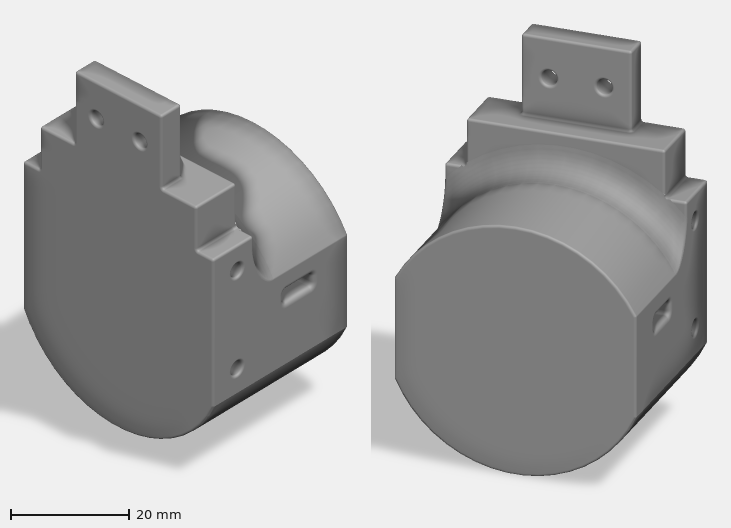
import cadquery as cq
import math

height = 68.3
depth = 33.6
body_width = 44.0
drum_radius = 24.0

plate_thickness = 10.05
body_top = 44.4
step_width = 36.05
step_top = 53.3
tab_width = 20.0
tab_thickness = 5.0

crown_radius = 25.0
crown_top = 46.15
cove_radius = 5.0

hole_diameter = 2.9
tab_hole_spacing = 10.05
tab_hole_z = 60.8
side_hole_spacing = 20.0
side_hole_middle_z = 29.3
side_hole_y = 6.0

slot_length = 7.3
slot_height = 2.6
slot_corner_radius = 0.7
slot_rim_radius = 1.0
slot_y = 21.3
slot_z = 28.0

edge_radius = 0.5

half_width = body_width / 2
flat_bottom = drum_radius - math.sqrt(drum_radius**2 - half_width**2)
crown_z = crown_top - crown_radius
flat_top = crown_z + math.sqrt(crown_radius**2 - half_width**2)


def block(width, thickness, bottom, top):
    """Block centred on X with its front on Y = 0."""
    return (
        cq.Workplane("XY", origin=(0, 0, bottom))
        .box(width, thickness, top - bottom, centered=(True, False, False))
    )


def drum_sides(side_top):
    """Open outline: straight sides up to side_top, joined underneath by the drum arc."""
    return (
        cq.Workplane("XZ")
        .moveTo(-half_width, side_top)
        .lineTo(-half_width, flat_bottom)
        .threePointArc((0, 0), (half_width, flat_bottom))
        .lineTo(half_width, side_top)
    )


def stepped_body(length):
    """Flat-topped body carrying the first, narrower step."""
    body = drum_sides(body_top).close().extrude(-length)
    return body.union(block(step_width, length, flat_bottom, step_top))


def make_plate():
    """Front plate with step and tab; all edges are rounded but those where the drum meets the sides."""
    plate = stepped_body(plate_thickness)
    plate = plate.union(block(tab_width, tab_thickness, flat_bottom, height))
    drum_corners = cq.selectors.BoxSelector(
        (-body_width, 0, flat_bottom - edge_radius),
        (body_width, plate_thickness, flat_bottom + edge_radius),
    )
    sharp_edges = plate.edges(drum_corners).vals()
    rounded_edges = [edge for edge in plate.edges().vals() if edge not in sharp_edges]
    return plate.newObject(rounded_edges).fillet(edge_radius)


def make_housing():
    """Full-depth housing closed by the crown arc, with rounded front and back outlines."""
    outline = drum_sides(flat_top).threePointArc((0, crown_top), (-half_width, flat_top)).close()
    return outline.extrude(-depth).faces("<Y or >Y").edges().fillet(edge_radius)


def make_cove():
    """Concave ring around the crown, trimmed to the stepped outline of the plate."""
    inner_radius = crown_radius - cove_radius
    outer_radius = crown_radius + cove_radius
    cove_front = plate_thickness - edge_radius
    cove_back = plate_thickness + cove_radius
    bulge = cove_radius * (1 - math.sqrt(0.5))
    ring = (
        cq.Workplane("XY")
        .moveTo(inner_radius, cove_front)
        .lineTo(outer_radius, cove_front)
        .lineTo(outer_radius, plate_thickness)
        .threePointArc((crown_radius + bulge, plate_thickness + bulge), (crown_radius, cove_back))
        .lineTo(inner_radius, cove_back)
        .close()
        .revolve(360, (0, 0, 0), (0, 1, 0))
        .translate((0, 0, crown_z))
    )
    step_corners = cq.selectors.BoxSelector((-body_width, 0, flat_top), (body_width, depth, height))
    outline = stepped_body(depth).edges("|Y").edges(step_corners).fillet(edge_radius)
    return ring.intersect(outline).intersect(block(body_width, depth, drum_radius, height))


def hole_cutter(length):
    """Pin along Y from the origin, flared at both ends so that it leaves rounded rims."""
    radius = hole_diameter / 2
    rim = radius + edge_radius
    bulge = edge_radius * (1 - math.sqrt(0.5))
    return (
        cq.Workplane("XY")
        .lineTo(rim, 0)
        .threePointArc((radius + bulge, bulge), (radius, edge_radius))
        .lineTo(radius, length - edge_radius)
        .threePointArc((radius + bulge, length - bulge), (rim, length))
        .lineTo(0, length)
        .close()
        .revolve(360, (0, 0, 0), (0, 1, 0))
    )


def cut_holes(part):
    """Drill the tab holes along Y and the side holes along X."""
    tab_hole = hole_cutter(tab_thickness).translate((0, 0, tab_hole_z))
    side_hole = (
        hole_cutter(body_width)
        .rotate((0, 0, 0), (0, 0, 1), -90)
        .translate((-half_width, side_hole_y, side_hole_middle_z))
    )
    for side in (-0.5, 0.5):
        part = part.cut(tab_hole.translate((side * tab_hole_spacing, 0, 0)))
        part = part.cut(side_hole.translate((0, 0, side * side_hole_spacing)))
    return part


def cut_slot(part):
    """Cut the round-cornered slot through the width and round both of its rims."""
    slot = (
        cq.Workplane("YZ", origin=(-half_width, slot_y, slot_z))
        .rect(slot_length, slot_height)
        .extrude(body_width)
        .edges("|X")
        .fillet(slot_corner_radius)
    )
    part = part.cut(slot)
    slot_zone = cq.selectors.BoxSelector(
        (-body_width, slot_y - slot_length, slot_z - slot_height),
        (body_width, slot_y + slot_length, slot_z + slot_height),
    )
    return part.edges(slot_zone).edges("not |X").fillet(slot_rim_radius)


def round_cove_ends(part):
    """Round the curved edges where the cove runs out at the two sides of the body."""
    cove_ends = cq.selectors.BoxSelector(
        (-body_width, plate_thickness - edge_radius, flat_top),
        (body_width, plate_thickness + cove_radius, body_top),
    )
    return part.faces("<X or >X").edges("%BSPLINE").edges(cove_ends).fillet(edge_radius)


result = make_plate().union(make_housing()).union(make_cove())
result = round_cove_ends(result)
result = cut_holes(result)
result = cut_slot(result)